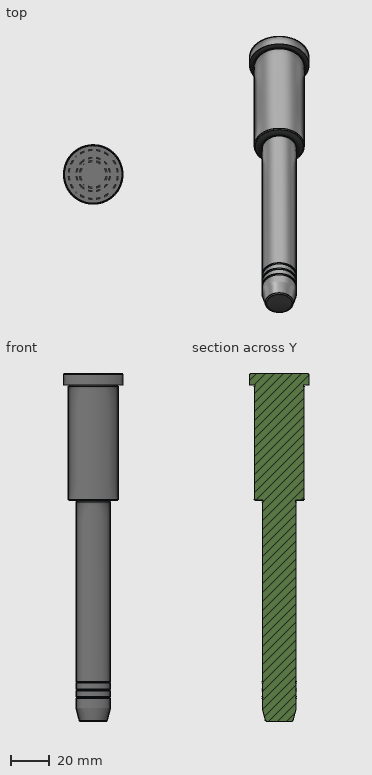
import cadquery as cq

total_length = 181.0

head_diameter = 31.0
head_height = 6.2
head_chamfer = 0.5

body_diameter = 26.0
body_bottom_depth = 66.0
body_chamfer = 0.5

shank_diameter = 18.0

tip_height = 6.9
tip_diameter = 14.3
tip_chamfer = 0.5

groove_count = 3
groove_width = 0.9
groove_depth = 0.45
groove_pitch = 4.0
lowest_groove_z = 12.5

relief_width = 0.7
relief_depth = 0.4

cut_overlap = 0.9

head_bottom_z = total_length - head_height
head_radius = head_diameter / 2
body_radius = body_diameter / 2
shank_radius = shank_diameter / 2
tip_radius = tip_diameter / 2

body_bottom_z = total_length - body_bottom_depth


def cylinder(radius, bottom_z, top_z):
    """Upright cylinder on the Z axis."""
    return cq.Workplane("XY").workplane(offset=bottom_z).circle(radius).extrude(top_z - bottom_z)


def make_head():
    head = cylinder(head_radius, head_bottom_z, total_length)
    return head.faces(">Z").edges().chamfer(head_chamfer)


def make_body():
    body = cylinder(body_radius, body_bottom_z, head_bottom_z)
    return body.faces("<Z").edges().chamfer(body_chamfer)


def make_tip():
    """Cone widening from the chamfered end face up to the shank."""
    tip = (
        cq.Workplane("XY")
        .circle(tip_radius)
        .workplane(offset=tip_height)
        .circle(shank_radius)
        .loft(ruled=True)
    )
    return tip.faces("<Z").edges().chamfer(tip_chamfer)


def make_relief(radius, shoulder_z):
    """Ring removed from the cylinder of the given radius, just below a shoulder."""
    bottom_z = shoulder_z - relief_width
    core = cylinder(radius - relief_depth, bottom_z, shoulder_z)
    return cylinder(radius + cut_overlap, bottom_z, shoulder_z).cut(core)


def make_groove(mid_z):
    """Ring of V section removed from the shank, centred on the given height."""
    bottom_z = mid_z - groove_width / 2
    top_z = mid_z + groove_width / 2
    outer_radius = shank_radius + cut_overlap
    section = (
        cq.Workplane("XZ")
        .moveTo(outer_radius, bottom_z)
        .lineTo(shank_radius, bottom_z)
        .lineTo(shank_radius - groove_depth, mid_z)
        .lineTo(shank_radius, top_z)
        .lineTo(outer_radius, top_z)
        .close()
    )
    return section.revolve(360, (0, 0, 0), (0, 1, 0))


result = make_tip()
result = result.union(cylinder(shank_radius, tip_height, body_bottom_z))
result = result.union(make_body())
result = result.union(make_head())

result = result.cut(make_relief(body_radius, head_bottom_z))
result = result.cut(make_relief(shank_radius, body_bottom_z))

for index in range(groove_count):
    result = result.cut(make_groove(lowest_groove_z + index * groove_pitch))